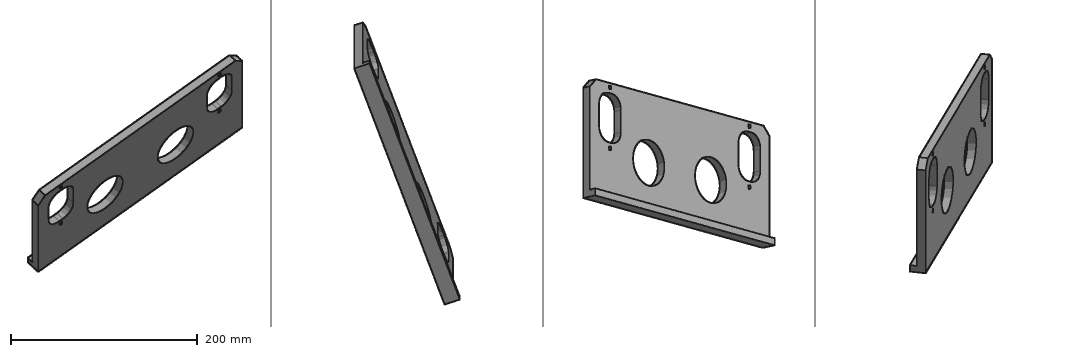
import cadquery as cq

length = 290.0
height = 131.7
depth = 17.5
plate_thickness = 10.0
corner_chamfer = 10.0

lip_height = 7.8

round_diameter = 50.5
round_spacing = 100.0
round_center_z = 55.5

window_width = 35.0
window_height = 54.5
window_corner_radius = 15.0
window_spacing = 225.0
window_center_z = 93.0
screw_diameter = 4.0
screw_spacing = 67.3

plate_front_x = depth - plate_thickness


def extrude_through(profile):
    """Extrude a YZ profile along X over the full depth of the part."""
    return profile.extrude(depth)


def make_plate():
    plate = (
        cq.Workplane("XY")
        .box(plate_thickness, length, height, centered=(False, True, False))
        .translate((plate_front_x, 0, 0))
    )
    return plate.edges("|X and >Z").chamfer(corner_chamfer)


def make_lip():
    return cq.Workplane("XY").box(depth, length, lip_height, centered=(False, True, False))


def round_opening(y):
    return extrude_through(cq.Workplane("YZ").center(y, round_center_z).circle(round_diameter / 2))


def window(y):
    opening = extrude_through(
        cq.Workplane("YZ").center(y, window_center_z).rect(window_width, window_height)
    )
    return opening.edges("|X").fillet(window_corner_radius)


def screw_holes(y):
    return extrude_through(
        cq.Workplane("YZ")
        .center(y, window_center_z)
        .pushPoints([(0, -screw_spacing / 2), (0, screw_spacing / 2)])
        .circle(screw_diameter / 2)
    )


result = make_plate().union(make_lip())
for side in (-1, 1):
    window_y = side * window_spacing / 2
    result = result.cut(round_opening(side * round_spacing / 2))
    result = result.cut(window(window_y))
    result = result.cut(screw_holes(window_y))